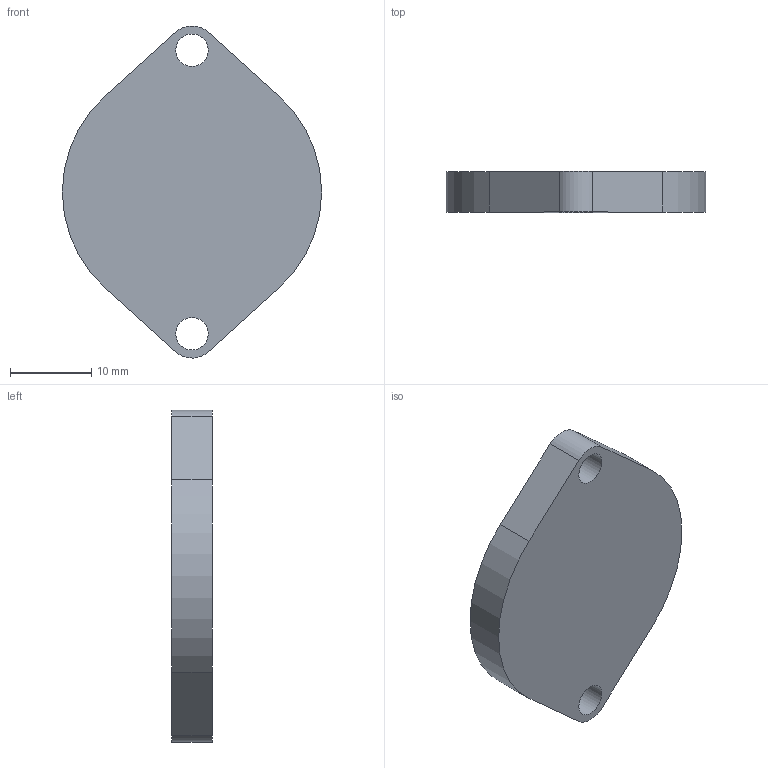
import cadquery as cq
import math

thickness = 5.0
body_radius = 16.0
ear_radius = 3.0
hole_spacing = 35.0
hole_diameter = 4.0

ear_offset = hole_spacing / 2
flank_sin = (body_radius - ear_radius) / ear_offset
flank_cos = math.sqrt(1 - flank_sin**2)
body_tangent_x = body_radius * flank_cos
body_tangent_z = body_radius * flank_sin
ear_tangent_x = ear_radius * flank_cos
ear_tangent_z = ear_offset + ear_radius * flank_sin
ear_tip_z = ear_offset + ear_radius


def make_plate():
    """Round plate with an ear at the top and bottom, from y = 0 to y = thickness."""
    return (
        cq.Workplane("XZ")
        .moveTo(body_tangent_x, -body_tangent_z)
        .threePointArc((body_radius, 0), (body_tangent_x, body_tangent_z))
        .lineTo(ear_tangent_x, ear_tangent_z)
        .threePointArc((0, ear_tip_z), (-ear_tangent_x, ear_tangent_z))
        .lineTo(-body_tangent_x, body_tangent_z)
        .threePointArc((-body_radius, 0), (-body_tangent_x, -body_tangent_z))
        .lineTo(-ear_tangent_x, -ear_tangent_z)
        .threePointArc((0, -ear_tip_z), (ear_tangent_x, -ear_tangent_z))
        .close()
        .extrude(-thickness)
    )


def make_mounting_holes():
    """Cutting cylinders for the through hole at the centre of each ear."""
    return (
        cq.Workplane("XZ")
        .pushPoints([(0, ear_offset), (0, -ear_offset)])
        .circle(hole_diameter / 2)
        .extrude(-thickness)
    )


result = make_plate().cut(make_mounting_holes())